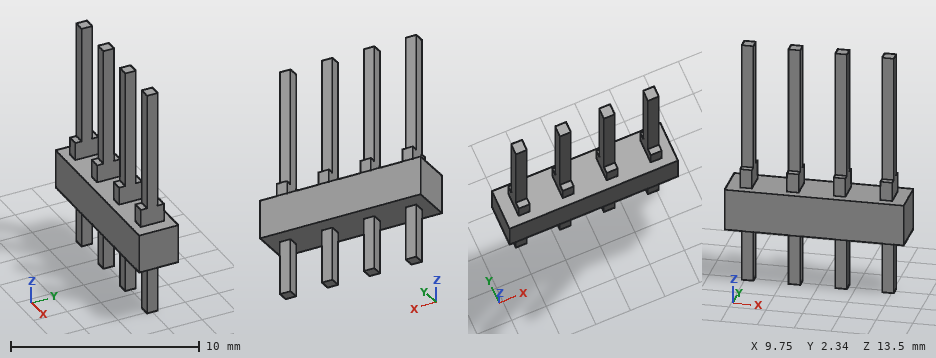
import cadquery as cq

body_length = 9.75
body_depth = 2.34
body_height = 2.3

pin_count = 4
pin_pitch = 2.55
pin_width = 0.64
pin_length = 13.54
tail_length = 3.18

shoulder_depth = 1.38
shoulder_height = 1.05

BASE_CENTERED = (True, True, False)


def make_body():
    return cq.Workplane("XY").box(body_length, body_depth, body_height, centered=BASE_CENTERED)


def make_pin():
    """Pin through the body, with its shoulder resting on the body's top face."""
    shaft = (
        cq.Workplane("XY")
        .workplane(offset=-tail_length)
        .box(pin_width, pin_width, pin_length, centered=BASE_CENTERED)
    )
    shoulder = (
        cq.Workplane("XY")
        .workplane(offset=body_height)
        .box(pin_width, shoulder_depth, shoulder_height, centered=BASE_CENTERED)
    )
    return shaft.union(shoulder)


result = make_body()
pin = make_pin()
first_pin_x = -(pin_count - 1) * pin_pitch / 2
for index in range(pin_count):
    result = result.union(pin.translate((first_pin_x + index * pin_pitch, 0, 0)))